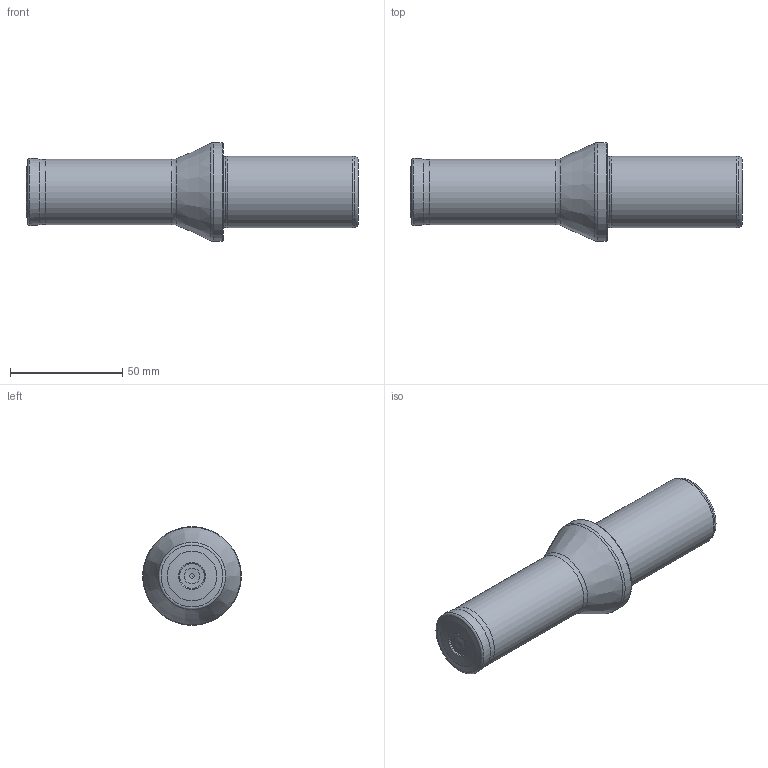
import cadquery as cq
import math

TOTAL_LENGTH = 147.83

CREST_RADIUS = 6.0
RING_BREAK_RADIUS = 11.0
FACE_RADIUS = 13.8
INNER_RING_ANGLE = 4.3
OUTER_RING_ANGLE = 8.4

HEAD_RADIUS = 15.0
HEAD_TAPER = 4.6
HEAD_EDGE_LENGTH = 0.75
HEAD_EDGE_SAGITTA = 0.28
HEAD_END_X = 6.0
NECK_SAGITTA = 0.11
NECK_END_X = 8.7

STEM_RADIUS = 29.0 / 2

FLANGE_RADIUS = 44.0 / 2
FLANGE_RIM_LENGTH = 4.33
FLANGE_EDGE_FILLET = 0.5
FLANK_ANGLE = 24.0
STEM_BLEND_RADIUS = 5.0
RIM_BLEND_RADIUS = 3.0

SHANK_LENGTH = 60.0
SHANK_RADIUS = 32.0 / 2
SHANK_NECK_RADIUS = 31.5 / 2
SHANK_TAPER_ANGLE = 15.0
SHANK_NECK_LENGTH = 0.95
SHANK_END_FILLET = 1.5

INSERT_RADIUS = 5.5
INSERT_RIM_X = 0.9
INSERT_LENGTH = 6.0
DISH_BREAK_RADIUS = 3.5
DISH_TIP_RADIUS = 0.95
DISH_OUTER_ANGLE = 2.8
DISH_INNER_ANGLE = 6.3
DISH_TIP_ANGLE = 5.0
BORE_LIP_RADIUS = CREST_RADIUS - INSERT_RADIUS


def slope(angle):
    return math.tan(math.radians(angle))


def arc_middle(center, radius, start_angle, end_angle):
    """Point halfway along an arc, with angles in degrees from +X."""
    middle = math.radians((start_angle + end_angle) / 2)
    return (center[0] + radius * math.cos(middle), center[1] + radius * math.sin(middle))


def turn(profile):
    """Revolve an (x, radius) half-profile about the X axis."""
    return profile.close().revolve(360, (0, 0, 0), (1, 0, 0))


ring_break_x = (RING_BREAK_RADIUS - CREST_RADIUS) * slope(INNER_RING_ANGLE)
face_edge_x = ring_break_x + (FACE_RADIUS - RING_BREAK_RADIUS) * slope(OUTER_RING_ANGLE)
head_start_x = face_edge_x + HEAD_EDGE_LENGTH
head_end_radius = HEAD_RADIUS - (HEAD_END_X - head_start_x) * slope(HEAD_TAPER)
flange_face_x = TOTAL_LENGTH - SHANK_LENGTH
rim_start_x = flange_face_x - FLANGE_RIM_LENGTH
shank_taper_length = (SHANK_RADIUS - SHANK_NECK_RADIUS) / slope(SHANK_TAPER_ANGLE)
shank_neck_end_x = flange_face_x + SHANK_NECK_LENGTH
shank_fillet_x = TOTAL_LENGTH - SHANK_END_FILLET
bore_end_x = INSERT_RIM_X + INSERT_LENGTH


def make_body():
    rim_corner_x = rim_start_x - RIM_BLEND_RADIUS * slope(FLANK_ANGLE / 2)
    stem_corner_x = rim_corner_x - (FLANGE_RADIUS - STEM_RADIUS) / slope(FLANK_ANGLE)
    stem_blend_x = stem_corner_x - STEM_BLEND_RADIUS * slope(FLANK_ANGLE / 2)

    flank = math.radians(FLANK_ANGLE)
    stem_blend_center = (stem_blend_x, STEM_RADIUS + STEM_BLEND_RADIUS)
    stem_blend_end = (
        stem_blend_center[0] + STEM_BLEND_RADIUS * math.sin(flank),
        stem_blend_center[1] - STEM_BLEND_RADIUS * math.cos(flank),
    )
    rim_blend_center = (rim_start_x, FLANGE_RADIUS - RIM_BLEND_RADIUS)
    rim_blend_start = (
        rim_blend_center[0] - RIM_BLEND_RADIUS * math.sin(flank),
        rim_blend_center[1] + RIM_BLEND_RADIUS * math.cos(flank),
    )

    lip_center = (BORE_LIP_RADIUS, CREST_RADIUS)
    flange_edge_center = (flange_face_x - FLANGE_EDGE_FILLET, FLANGE_RADIUS - FLANGE_EDGE_FILLET)
    shank_end_center = (shank_fillet_x, SHANK_NECK_RADIUS - SHANK_END_FILLET)

    profile = (
        cq.Workplane("XY")
        .moveTo(bore_end_x, 0)
        .lineTo(bore_end_x, INSERT_RADIUS)
        .lineTo(BORE_LIP_RADIUS, INSERT_RADIUS)
        .threePointArc(arc_middle(lip_center, BORE_LIP_RADIUS, 180, 270), (0, CREST_RADIUS))
        .lineTo(ring_break_x, RING_BREAK_RADIUS)
        .lineTo(face_edge_x, FACE_RADIUS)
        .sagittaArc((head_start_x, HEAD_RADIUS), HEAD_EDGE_SAGITTA)
        .lineTo(HEAD_END_X, head_end_radius)
        .sagittaArc((NECK_END_X, STEM_RADIUS), -NECK_SAGITTA)
        .lineTo(stem_blend_x, STEM_RADIUS)
        .threePointArc(
            arc_middle(stem_blend_center, STEM_BLEND_RADIUS, 270, 270 + FLANK_ANGLE),
            stem_blend_end,
        )
        .lineTo(*rim_blend_start)
        .threePointArc(
            arc_middle(rim_blend_center, RIM_BLEND_RADIUS, 90 + FLANK_ANGLE, 90),
            (rim_start_x, FLANGE_RADIUS),
        )
        .lineTo(flange_edge_center[0], FLANGE_RADIUS)
        .threePointArc(
            arc_middle(flange_edge_center, FLANGE_EDGE_FILLET, 90, 0),
            (flange_face_x, flange_edge_center[1]),
        )
        .lineTo(flange_face_x, SHANK_NECK_RADIUS)
        .lineTo(shank_neck_end_x, SHANK_NECK_RADIUS)
        .lineTo(shank_neck_end_x + shank_taper_length, SHANK_RADIUS)
        .lineTo(shank_fillet_x - shank_taper_length, SHANK_RADIUS)
        .lineTo(shank_fillet_x, SHANK_NECK_RADIUS)
        .threePointArc(
            arc_middle(shank_end_center, SHANK_END_FILLET, 90, 0),
            (TOTAL_LENGTH, shank_end_center[1]),
        )
        .lineTo(TOTAL_LENGTH, 0)
    )
    return turn(profile)


def make_insert():
    dish_break_x = INSERT_RIM_X + (INSERT_RADIUS - DISH_BREAK_RADIUS) * slope(DISH_OUTER_ANGLE)
    dish_tip_x = dish_break_x + (DISH_BREAK_RADIUS - DISH_TIP_RADIUS) * slope(DISH_INNER_ANGLE)
    dish_apex_x = dish_tip_x + DISH_TIP_RADIUS * slope(DISH_TIP_ANGLE)
    profile = (
        cq.Workplane("XY")
        .moveTo(bore_end_x, 0)
        .lineTo(bore_end_x, INSERT_RADIUS)
        .lineTo(INSERT_RIM_X, INSERT_RADIUS)
        .lineTo(dish_break_x, DISH_BREAK_RADIUS)
        .lineTo(dish_tip_x, DISH_TIP_RADIUS)
        .lineTo(dish_apex_x, 0)
    )
    return turn(profile)


body = make_body()
insert = make_insert()

result = cq.Compound.makeCompound([body.val(), insert.val()])